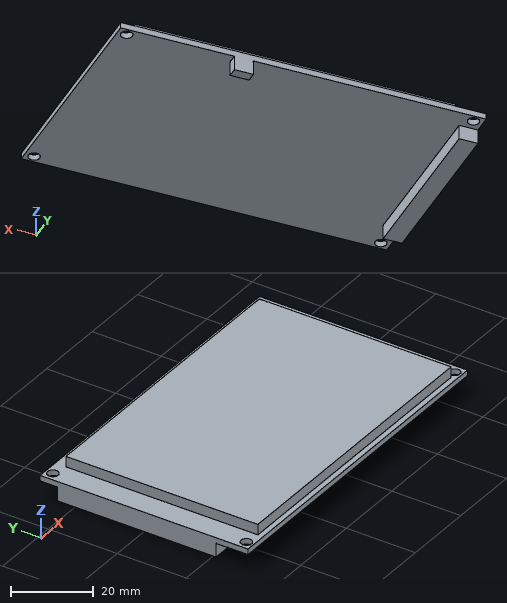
import cadquery as cq

board_length = 96.5
board_width = 60.3
board_thickness = 1.6
hole_diameter = 3.0
hole_inset_x = 2.5
hole_inset_y = 2.1

panel_length = 84.9
panel_width = 55.6
panel_height = 3.0
panel_left_margin = 6.7
panel_back_margin = 3.2

connector_height = 4.0
connector_length_x = 5.0
long_connector_width = 46.0
long_connector_back_margin = 5.0
short_connector_width = 2.6
short_connector_left_margin = 61.5

hole_centers = [
    (x, y)
    for x in (hole_inset_x, board_length - hole_inset_x)
    for y in (hole_inset_y, board_width - hole_inset_y)
]


def block(left, back_margin, bottom, length, width, height):
    """Box placed by its left side, its distance from the board's back edge and its bottom."""
    front = board_width - back_margin - width
    return cq.Workplane("XY").box(length, width, height, centered=False).translate((left, front, bottom))


def make_board():
    plate = block(0, 0, 0, board_length, board_width, board_thickness)
    holes = (
        cq.Workplane("XY")
        .pushPoints(hole_centers)
        .circle(hole_diameter / 2)
        .extrude(board_thickness)
    )
    return plate.cut(holes)


def make_connector(left, back_margin, width):
    return block(left, back_margin, -connector_height, connector_length_x, width, connector_height)


panel = block(
    panel_left_margin, panel_back_margin, board_thickness, panel_length, panel_width, panel_height
)
long_connector = make_connector(0, long_connector_back_margin, long_connector_width)
short_connector = make_connector(short_connector_left_margin, 0, short_connector_width)

result = make_board().union(panel).union(long_connector).union(short_connector)